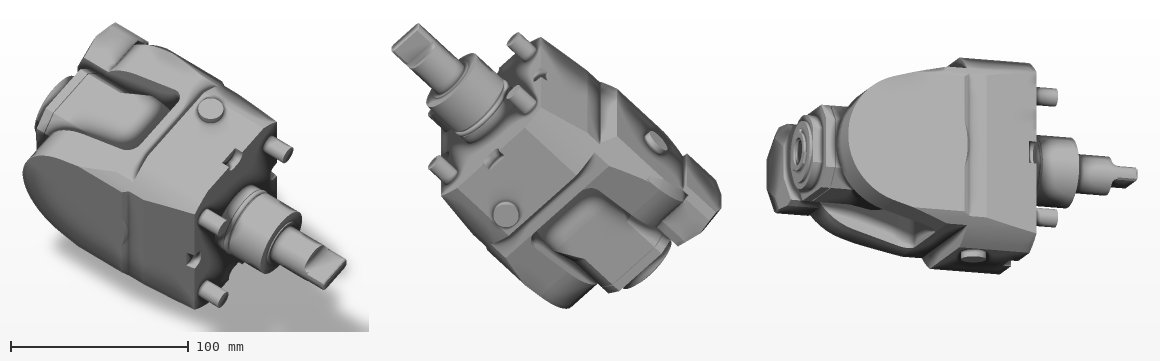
import cadquery as cq
import math


length = 197.7
height = 118.0
tip_x = 69.2
nose_x = tip_x - length

turned_radius = 61.0
flange_back_x = -41.5
flange_half_y = 45.0
flange_half_z = 55.0
taper_start_x = -31.5
taper_end_half_y = 39.3

fork_min_y = -46.9
fork_max_y = 52.4
fork_half_z = 45.5
fork_flat_x = -53.4
fork_slope = 16.0
swivel_x = -76.7
ear_radius = 37.4
ear_chamfer = 4.7
wide_chamfer = 6.3
narrow_chamfer = 3.5
slot_half_y = 25.3
slot_corner_radius = 7.7

head_half_z = 24.0
head_front_x = -120.0
plate_seam_x = -114.9
seam_size = 0.5
head_corner_y = 8.7
head_corner_z = 9.9
head_corner_end_x = -92.1

nut_inner_y = 25.5
nut_outer_y = 55.5
nut_half_z = 23.7
nut_shoulder_x = -105.8
nut_back_x = -100.8
nut_bevel_slope = 0.4
nut_edge_y = 5.5
nut_edge_z = 2.2

collar_radius = 21.0
collar_half_flats = 18.4
face_disc_radius = 17.4
collar_front_x = -125.5
face_disc_x = -127.1
drive_ring_radius = 10.9
drive_tooth_reach = 12.5
drive_tooth_width = 6.3
bore_radius = 6.3
bore_mouth_radius = 8.0
bore_mouth_depth = 1.2
bore_depth = 2.4

spigot_radius = 20.0
spigot_length = 31.6
ring_radius = 20.5
ring_start_x = 6.0
ring_end_x = 8.9
groove_radius = 19.0
groove_end_x = 10.0
shoulder_radius = 13.6
shoulder_end_x = 32.2
shaft_radius = 11.0
tang_start_x = 54.5
tang_half_z = 4.0
tang_root_radius = 2.8
tip_chamfer = 0.5
tang_edge_y = 2.0
tang_edge_z = 1.2

screw_y = 31.0
screw_z = 35.0
screw_radius = 5.1
screw_length = 13.8

key_half_width = 6.3
key_depth_x = 5.0
key_depth = 6.3
key_corner_radius = 4.7

pin_radius = 7.1
side_pin_x = -30.2
side_pin_y = 17.8
side_pin_reach = height / 2
swivel_pin_reach = 56.7


def box(x_range, y_range, z_range):
    """Axis-aligned box from its limits on each axis."""
    limits = (x_range, y_range, z_range)
    sizes = [high - low for low, high in limits]
    centre = tuple((low + high) / 2 for low, high in limits)
    return cq.Workplane("XY").box(*sizes).translate(centre)


def rod(radius, x_start, x_end, y=0.0, z=0.0):
    """Cylinder parallel to X."""
    return cq.Workplane("YZ", origin=(x_start, y, z)).circle(radius).extrude(x_end - x_start)


def turned(profile):
    """Solid turned about X from (x, radius) points, closed along the axis."""
    points = [(profile[0][0], 0.0)] + profile + [(profile[-1][0], 0.0)]
    return cq.Workplane("XY").polyline(points).close().revolve(360, (0, 0, 0), (1, 0, 0))


def across_y(sketch, y_start, y_end):
    """Extrude an XZ sketch between two Y positions."""
    return sketch.extrude(y_start - y_end).translate((0, y_start, 0))


def octagon(half_y, half_z, corner_y, corner_z):
    """Corner points (y, z) of a rectangle with cut corners."""
    return [
        (half_y, half_z - corner_z),
        (half_y - corner_y, half_z),
        (corner_y - half_y, half_z),
        (-half_y, half_z - corner_z),
        (-half_y, corner_z - half_z),
        (corner_y - half_y, -half_z),
        (half_y - corner_y, -half_z),
        (half_y, corner_z - half_z),
    ]


def convex_solid(faces):
    """Solid bounded by flat faces given as lists of corner points."""
    panels = [cq.Face.makeFromWires(cq.Wire.makePolygon([cq.Vector(*p) for p in pts], close=True))
              for pts in faces]
    return cq.Workplane(obj=cq.Solid.makeSolid(cq.Shell.makeShell(panels)))


def flange():
    outline = [
        (flange_back_x, flange_half_y),
        (taper_start_x, flange_half_y),
        (0.0, taper_end_half_y),
        (0.0, -taper_end_half_y),
        (taper_start_x, -flange_half_y),
        (flange_back_x, -flange_half_y),
    ]
    block = cq.Workplane("XY").polyline(outline).close().extrude(flange_half_z, both=True)
    return block.intersect(rod(turned_radius, flange_back_x, 0.0))


def key_slot():
    """Key slot in the flange face at its +Z edge, with rounded floor corners."""
    slot = box((-key_depth_x, key_depth_x), (-key_half_width, key_half_width),
               (flange_half_z - key_depth, flange_half_z + key_depth))
    return slot.edges("|X and <Z").fillet(key_corner_radius)


def fork():
    angle = math.radians(fork_slope)
    tangent_x = swivel_x - ear_radius * math.sin(angle)
    tangent_z = ear_radius * math.cos(angle)
    side = (
        cq.Workplane("XZ")
        .moveTo(flange_back_x, fork_half_z)
        .lineTo(fork_flat_x, fork_half_z)
        .lineTo(tangent_x, tangent_z)
        .threePointArc((swivel_x - ear_radius, 0), (tangent_x, -tangent_z))
        .lineTo(fork_flat_x, -fork_half_z)
        .lineTo(flange_back_x, -fork_half_z)
        .close()
    )
    body = across_y(side, fork_min_y, fork_max_y)

    front_x = swivel_x - ear_radius
    plan = [
        (front_x, fork_min_y),
        (flange_back_x - narrow_chamfer, fork_min_y),
        (flange_back_x, -flange_half_y),
        (flange_back_x, fork_max_y - wide_chamfer),
        (flange_back_x - wide_chamfer, fork_max_y),
        (front_x, fork_max_y),
    ]
    limits = cq.Workplane("XY").polyline(plan).close().extrude(fork_half_z, both=True)
    cone = turned([
        (front_x, turned_radius),
        (flange_back_x - turned_radius + flange_half_y, turned_radius),
        (flange_back_x, flange_half_y),
    ])
    body = body.intersect(limits.union(body.intersect(cone)))
    body = body.intersect(rod(turned_radius, front_x, flange_back_x))

    slot = box((front_x, fork_flat_x), (-slot_half_y, slot_half_y), (-fork_half_z, fork_half_z))
    body = body.cut(slot.edges("|Z and >X").fillet(slot_corner_radius))
    return body.cut(ear_bevel())


def ear_bevel():
    """Conical bevel around the rounded end of the +Y ear."""
    reach = 2 * ear_radius
    bevel = (
        cq.Workplane("XY", origin=(swivel_x, 0, 0))
        .polyline([
            (ear_radius, fork_max_y - ear_chamfer),
            (ear_radius - ear_chamfer, fork_max_y),
            (reach, fork_max_y),
            (reach, fork_max_y - ear_chamfer),
        ])
        .close()
        .revolve(360, (0, 0, 0), (0, 1, 0))
    )
    return bevel.intersect(box((swivel_x - reach, swivel_x), (0, 2 * fork_max_y), (-reach, reach)))


def corner_run_out():
    """Cut that lets the +Y +Z corner flat of the head run out to a point at the swivel axis."""
    x = head_corner_end_x
    edge = (x, slot_half_y, head_half_z)
    top = (x, slot_half_y - head_corner_y, head_half_z)
    side = (x, slot_half_y, head_half_z - head_corner_z)
    point = (swivel_x, slot_half_y, head_half_z)
    return convex_solid([(edge, top, side), (edge, top, point), (top, side, point), (side, edge, point)])


def swivel_head():
    barrel = across_y(cq.Workplane("XZ").center(swivel_x, 0).circle(head_half_z), -slot_half_y, slot_half_y)
    block = box((head_corner_end_x, swivel_x), (-slot_half_y, slot_half_y), (-head_half_z, head_half_z))
    behind_front = box((head_corner_end_x, 0), (-slot_half_y, slot_half_y), (-head_half_z, head_half_z))
    neck = barrel.union(block).intersect(behind_front)
    run_out = corner_run_out()
    mirrored = run_out.mirror("XZ")
    for cut in (run_out, mirrored, run_out.mirror("XY"), mirrored.mirror("XY")):
        neck = neck.cut(cut)
    section = octagon(slot_half_y, head_half_z, head_corner_y, head_corner_z)
    front = (
        cq.Workplane("YZ", origin=(head_front_x, 0, 0))
        .polyline(section).close().extrude(head_corner_end_x - head_front_x)
    )

    seam = (
        cq.Workplane("YZ", origin=(plate_seam_x, 0, 0))
        .rect(4 * slot_half_y, 4 * head_half_z)
        .polyline(octagon(slot_half_y - seam_size, head_half_z - seam_size, head_corner_y, head_corner_z))
        .close().extrude(seam_size)
    )
    return neck.union(front.cut(seam))


def spindle_nose():
    collar = rod(collar_radius, collar_front_x, head_front_x)
    collar = collar.intersect(box((collar_front_x, head_front_x), (-collar_half_flats, collar_half_flats),
                                  (-collar_radius, collar_radius)))
    nose = collar.union(rod(face_disc_radius, face_disc_x, collar_front_x))
    nose = nose.union(rod(drive_ring_radius, nose_x, face_disc_x))
    tooth = box((nose_x, face_disc_x), (-drive_tooth_width / 2, drive_tooth_width / 2),
                (0, drive_tooth_reach))
    for angle in (0, 120, 240):
        nose = nose.union(tooth.rotate((0, 0, 0), (1, 0, 0), angle))
    return nose


def spindle_bore():
    return turned([
        (nose_x, bore_mouth_radius),
        (nose_x + bore_mouth_depth, bore_mouth_radius),
        (nose_x + bore_mouth_depth, bore_radius),
        (nose_x + bore_depth, bore_radius),
    ])


def clamp_nut():
    """Block whose front is bevelled down to a regular hexagon."""
    centre_y = (nut_inner_y + nut_outer_y) / 2
    half_y = (nut_outer_y - nut_inner_y) / 2
    outline = octagon(half_y, nut_half_z, nut_edge_y, nut_edge_z)
    nut = (
        cq.Workplane("YZ", origin=(nose_x, centre_y, 0))
        .polyline(outline).close().extrude(nut_back_x - nose_x)
    )
    reach = 2 * nut_half_z
    wedge = (
        cq.Workplane("XZ")
        .polyline([
            (nose_x, half_y),
            (nose_x, half_y + reach),
            (nose_x + nut_bevel_slope * reach, half_y + reach),
        ])
        .close().extrude(reach, both=True).translate((0, centre_y, 0))
    )
    for angle in (30, 150, 210, 330):
        nut = nut.cut(wedge.rotate((0, centre_y, 0), (1, centre_y, 0), angle))
    return nut.cut(box((nut_shoulder_x, nut_back_x), (nut_inner_y, fork_max_y), (-nut_half_z, nut_half_z)))


def drive_shaft():
    shaft = turned([
        (0.0, spigot_radius),
        (ring_start_x, spigot_radius),
        (ring_start_x, groove_radius),
        (groove_end_x, groove_radius),
        (groove_end_x, spigot_radius),
        (spigot_length, spigot_radius),
        (spigot_length, shoulder_radius),
        (shoulder_end_x, shoulder_radius),
        (shoulder_end_x, shaft_radius),
        (tip_x, shaft_radius),
    ])
    ring_section = (ring_end_x - ring_start_x) / 2
    ring = cq.Solid.makeTorus(ring_radius - ring_section, ring_section,
                              cq.Vector(ring_start_x + ring_section, 0, 0), cq.Vector(1, 0, 0))
    shaft = shaft.union(cq.Workplane(obj=ring))

    flat = box((tang_start_x, tip_x), (-shaft_radius, shaft_radius), (tang_half_z, shaft_radius))
    flat = flat.edges("|Y and <X and <Z").fillet(tang_root_radius)
    shaft = shaft.cut(flat).cut(flat.mirror("XY"))

    root_end_x = tang_start_x + tang_root_radius
    tang = (
        cq.Workplane("YZ", origin=(root_end_x, 0, 0))
        .polyline(octagon(shaft_radius, tang_half_z, tang_edge_y, tang_edge_z))
        .close().extrude(tip_x - root_end_x)
    )
    tang = tang.faces(">X").chamfer(tip_chamfer)
    return shaft.intersect(rod(spigot_radius + shaft_radius, 0.0, root_end_x).union(tang))


def screws():
    group = cq.Workplane("XY")
    for y in (-screw_y, screw_y):
        for z in (-screw_z, screw_z):
            group = group.union(rod(screw_radius, 0.0, screw_length, y, z))
    return group


def pins():
    top = (
        cq.Workplane("XY", origin=(side_pin_x, side_pin_y, flange_half_z))
        .circle(pin_radius).extrude(side_pin_reach - flange_half_z)
    )
    bottom = top.rotate((0, 0, 0), (1, 0, 0), 180)
    swivel = across_y(cq.Workplane("XZ").center(swivel_x, 0).circle(pin_radius),
                      fork_max_y, swivel_pin_reach)
    return top.union(bottom).union(swivel)


body = flange()
side_slot_shift = flange_half_z - taper_end_half_y
for turn in (0, 90, 180, 270):
    inset = side_slot_shift if turn in (90, 270) else 0.0
    body = body.cut(key_slot().translate((0, 0, -inset)).rotate((0, 0, 0), (1, 0, 0), turn))

for feature in (fork(), swivel_head(), spindle_nose(), clamp_nut(), drive_shaft(), screws(), pins()):
    body = body.union(feature)

result = body.cut(spindle_bore())